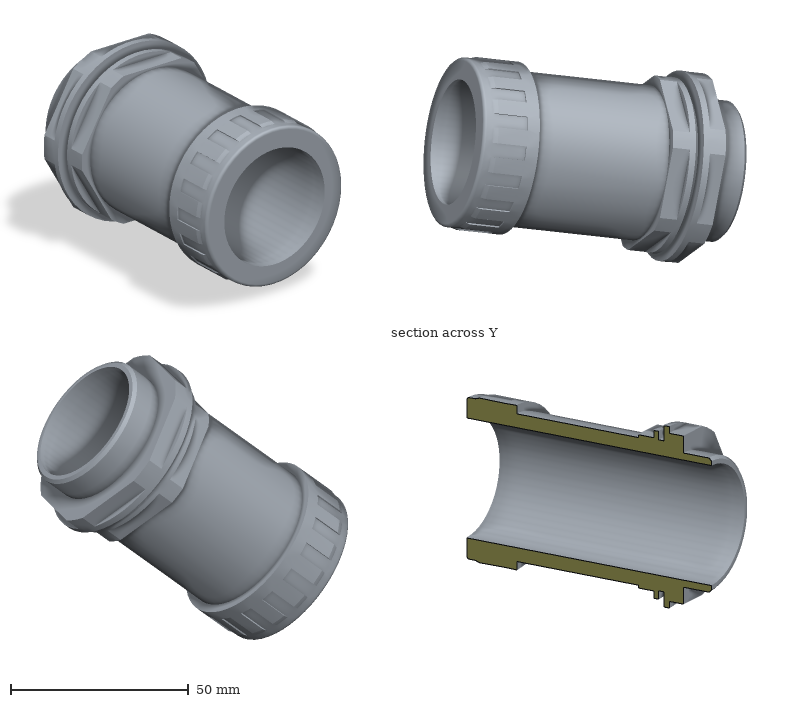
import cadquery as cq
import math

SPIGOT_CHAMFER = 0.9
NUT_START = 9.25
NUT_FLATS_END = 14.0
NUT_END = 15.9
COLLAR_START = 17.5
COLLAR_FLATS_START = 19.3
COLLAR_END = 24.4
CAP_START = 64.4
GRIP_START = 68.1
GRIP_SLOPE_START = 76.8
GRIP_END = 78.2
TOTAL_LENGTH = 81.1

BORE_RADIUS = 17.75
SPIGOT_RADIUS = 20.0
NUT_RADIUS = 27.0
GROOVE_RADIUS = 22.5
COLLAR_RADIUS = 25.0
BODY_RADIUS = 22.0
CAP_RADIUS = 24.5
GRIP_FLOOR_RADIUS = 24.05
CAP_END_FILLET = 0.9

NUT_ACROSS_FLATS = 50.0
COLLAR_ACROSS_FLATS = 45.6

TOOTH_COUNT = 18
TOOTH_PITCH = 360.0 / TOOTH_COUNT
RECESS_WIDTH = 4.0
CUT_MARGIN = 2.0


def disc(start, end, radius):
    """Solid cylinder on the X axis between two stations."""
    return cq.Workplane("YZ", origin=(start, 0, 0)).circle(radius).extrude(end - start)


def hex_disc(start, end, radius, across_flats):
    """Disc with six flats; one pair of flats faces +Z and -Z."""
    across_corners = across_flats / math.cos(math.radians(30))
    hexagon = cq.Workplane("YZ", origin=(start, 0, 0)).polygon(6, across_corners).extrude(end - start)
    return disc(start, end, radius).intersect(hexagon)


def make_spigot():
    """Entry tube with a chamfered rim."""
    return disc(0, NUT_START, SPIGOT_RADIUS).faces("<X").chamfer(SPIGOT_CHAMFER)


def make_nut():
    """Hexagonal nut backed by a full round flange."""
    hexagonal = hex_disc(NUT_START, NUT_FLATS_END, NUT_RADIUS, NUT_ACROSS_FLATS)
    return hexagonal.union(disc(NUT_FLATS_END, NUT_END, NUT_RADIUS))


def make_collar():
    """Round flange followed by a hexagonal section."""
    flange = disc(COLLAR_START, COLLAR_FLATS_START, COLLAR_RADIUS)
    return flange.union(hex_disc(COLLAR_FLATS_START, COLLAR_END, COLLAR_RADIUS, COLLAR_ACROSS_FLATS))


def make_grip_band():
    """Raised band of the cap whose far edge slopes down to the recess floor."""
    profile = [
        (CAP_START, 0),
        (CAP_START, CAP_RADIUS),
        (GRIP_SLOPE_START, CAP_RADIUS),
        (GRIP_END, GRIP_FLOOR_RADIUS),
        (GRIP_END, 0),
    ]
    return cq.Workplane("XY").polyline(profile).close().revolve(360, (0, 0, 0), (1, 0, 0))


def make_recesses():
    """Parallel-sided cutters that split the raised band into teeth."""
    length = GRIP_END + CUT_MARGIN - GRIP_START
    reach = CAP_RADIUS + CUT_MARGIN
    cutter = cq.Workplane("XY").box(length, reach, RECESS_WIDTH, centered=(False, False, True))
    cutter = cutter.translate((GRIP_START, 0, 0))
    recesses = cq.Workplane("XY")
    for index in range(TOOTH_COUNT):
        recesses = recesses.add(cutter.rotate((0, 0, 0), (1, 0, 0), index * TOOTH_PITCH))
    return recesses.combine()


def make_cap():
    """Cap with a rounded end rim and a ring of grip teeth."""
    core = disc(CAP_START, TOTAL_LENGTH, GRIP_FLOOR_RADIUS).faces(">X").edges().fillet(CAP_END_FILLET)
    return make_grip_band().cut(make_recesses()).union(core)


def make_part():
    """Complete fitting with a plain bore running its full length."""
    groove = disc(NUT_END, COLLAR_START, GROOVE_RADIUS)
    body = disc(COLLAR_END, CAP_START, BODY_RADIUS)
    part = make_spigot()
    for section in (make_nut(), groove, make_collar(), body, make_cap()):
        part = part.union(section)
    return part.cut(disc(0, TOTAL_LENGTH, BORE_RADIUS))


result = make_part()